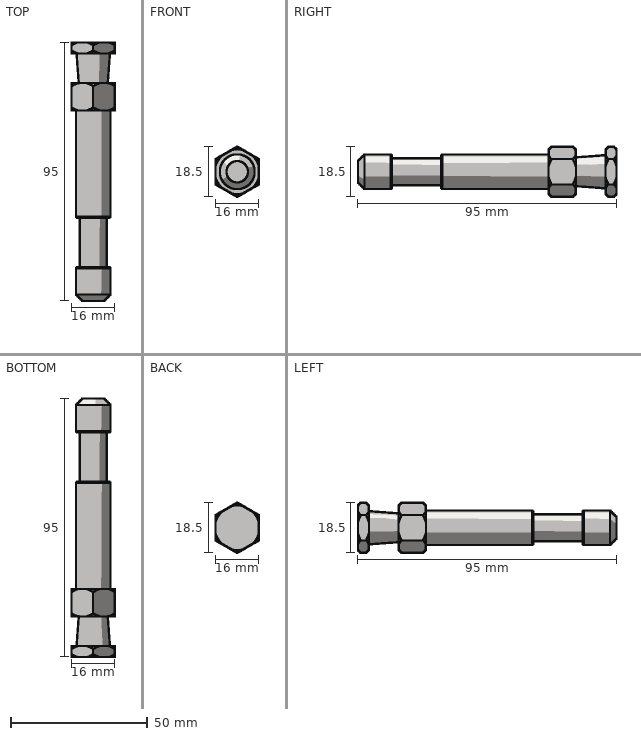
import cadquery as cq
import math

total_length = 95.0

across_flats = 16.0
head_thickness = 4.1
nut_length = 10.0
hex_chamfer_length = 1.0
hex_face_diameter = 16.4

neck_length = 10.9
neck_head_diameter = 12.35
neck_nut_diameter = 10.7

body_diameter = 12.8
sleeve_length = 39.4
rod_diameter = 10.0
tip_length = 12.5
tip_bevel = 2.5
edge_chamfer = 0.5

back_end = total_length / 2
front_end = -total_length / 2
head_front = back_end - head_thickness
nut_back = head_front - neck_length
nut_front = nut_back - nut_length
sleeve_front = nut_front - sleeve_length
tip_back = front_end + tip_length


def chamfered_hexagon(y_front, length):
    """Hexagonal prism along Y, corners on +/-Z, conically chamfered at both ends."""
    across_corners = across_flats / math.cos(math.pi / 6)
    hexagon = (
        cq.Workplane("XY")
        .polygon(6, across_corners)
        .extrude(length)
        .rotate((0, 0, 0), (0, 0, 1), 30)
        .rotate((0, 0, 0), (1, 0, 0), -90)
        .translate((0, y_front, 0))
    )
    corner_radius = across_corners / 2
    face_radius = hex_face_diameter / 2
    y_back = y_front + length
    envelope = (
        cq.Workplane("XY")
        .polyline([
            (0, y_front),
            (face_radius, y_front),
            (corner_radius, y_front + hex_chamfer_length),
            (corner_radius, y_back - hex_chamfer_length),
            (face_radius, y_back),
            (0, y_back),
        ])
        .close()
        .revolve(360, (0, 0, 0), (0, 1, 0))
    )
    return hexagon.intersect(envelope)


def turned_shaft():
    """Tip, rod, sleeve and tapered neck as one revolved profile."""
    body_radius = body_diameter / 2
    rod_radius = rod_diameter / 2
    chamfered_radius = body_radius - edge_chamfer
    return (
        cq.Workplane("XY")
        .polyline([
            (0, front_end),
            (body_radius - tip_bevel, front_end),
            (body_radius, front_end + tip_bevel),
            (body_radius, tip_back - edge_chamfer),
            (chamfered_radius, tip_back),
            (rod_radius, tip_back),
            (rod_radius, sleeve_front),
            (chamfered_radius, sleeve_front),
            (body_radius, sleeve_front + edge_chamfer),
            (body_radius, nut_back),
            (neck_nut_diameter / 2, nut_back),
            (neck_head_diameter / 2, head_front),
            (0, head_front),
        ])
        .close()
        .revolve(360, (0, 0, 0), (0, 1, 0))
    )


nut = chamfered_hexagon(nut_front, nut_length)
head = chamfered_hexagon(head_front, head_thickness)
result = turned_shaft().union(nut).union(head)